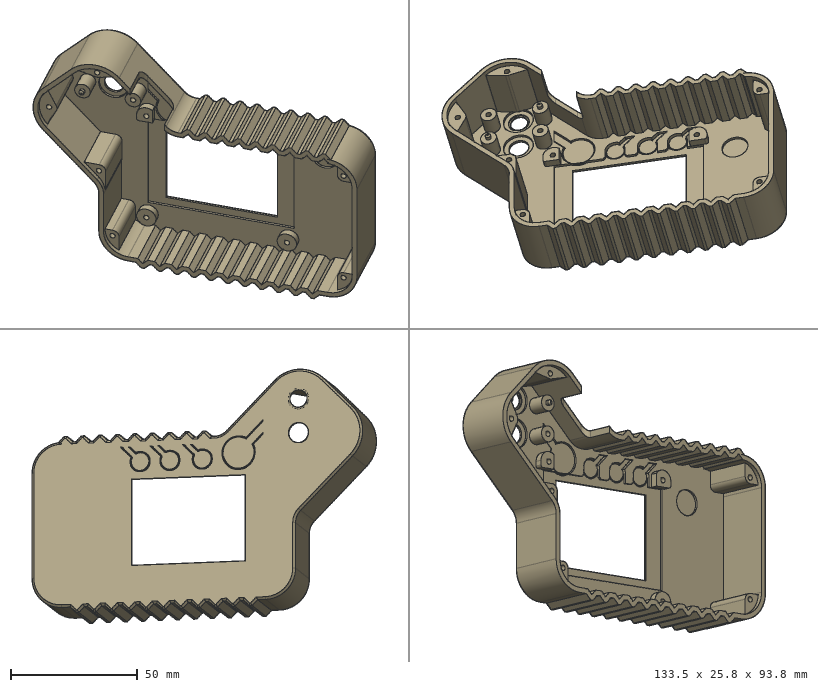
import cadquery as cq
import math

length = 133.5
depth = 25.8
wall = 2.0
floor_thickness = 2.0
recess_depth = 1.0
back_chamfer = 1.0
pad_setback = 2.0

body_left = 27.1
corner_radius = 12.0
neck_radius = 7.0
ridge_pitch = 7.0
ridge_height = 2.3
ridge_crest = 1.2
body_bottom = ridge_height
body_top = 68.3

head_radius = 14.0
head_left_center = (head_radius, 68.2)
head_top_center = (25.6, 79.8)

top_ridge_first, top_ridge_count = 64.0, 9
bottom_ridge_first, bottom_ridge_count = 45.3, 11

window_x = (47.3, 93.0)
window_z = (17.9, 52.3)
screen_x = (40.0, 100.3)
screen_z = (14.7, 55.4)

slit = 0.4
big_button = (49.9, 61.3)
big_button_radius = 6.7
big_arm_width = 4.0
big_button_recess = 0.4
small_button_z = 59.3
small_button_radius = 4.0
small_arm_width = 2.7
small_arm_end_z = 65.3
channel_flare = 0.8
small_buttons = [(64.6, True), (77.7, False), (89.7, False)]

screw_radius = 1.1
pilot_radius = 0.5
pilot_depth = 1.1
screen_boss_radius = 4.0
screen_boss_height = 3.1
screen_boss_left_x, screen_boss_right_x = 40.3, 98.2
screen_boss_low_z, screen_boss_high_z = 9.5, 58.3
screen_boss_flat_z = 55.5
left_boss_flat_x, right_boss_flat_x = 42.9, 95.0
boss_corner_radius = 1.0

camera_x = 25.8
camera_boss_offset = 10.4
camera_boss_radius = 3.2
camera_boss_height = 7.5
pin_length = 2.0
pin_chamfer = 0.7
camera_boss_z = (68.2, 80.6)
lens_recess_radius = 6.0
lower_lens_z, lower_lens_radius = 68.3, 4.0
upper_lens_z, upper_lens_radius = 82.0, 3.5
upper_step_radius = 4.1
upper_step_depth = 0.5

round_recess = (112.9, 51.7)
round_recess_radius = 5.2

pad_corner_radius = 2.7
pad_hole_depth = 10.0

slot_x = (40.0, 54.2)
slot_depth = 14.4
slot_corner_radius = 2.7

half_diagonal = math.sqrt(0.5)
bend_setback = math.tan(math.pi / 8)
floor_y = depth - floor_thickness
recess_y = floor_y + recess_depth


def sketch_at(y):
    """Workplane at depth y with sketch axes X and Z; extrusions run towards the open front."""
    return cq.Workplane("XZ", origin=(0, y, 0))


def prism(points, y_front, y_back):
    return sketch_at(y_back).polyline(points).close().extrude(y_back - y_front)


def box(x_range, z_range, y_front, y_back):
    x0, x1 = x_range
    z0, z1 = z_range
    return prism([(x0, z0), (x1, z0), (x1, z1), (x0, z1)], y_front, y_back)


def cylinder(center, radius, y_front, y_back):
    return sketch_at(y_back).center(*center).circle(radius).extrude(y_back - y_front)


def on_circle(center, radius, degrees):
    angle = math.radians(degrees)
    return (center[0] + radius * math.cos(angle), center[1] + radius * math.sin(angle))


def add_arc(sketch, center, radius, start, end):
    """Line to the start of an arc, then the arc itself (angles in degrees)."""
    sketch = sketch.lineTo(*on_circle(center, radius, start))
    middle = on_circle(center, radius, (start + end) / 2)
    return sketch.threePointArc(middle, on_circle(center, radius, end))


def add_ridges(sketch, base_z, centers, crest_side, inset):
    """Ridges with 45 degree flanks, in the order of their centers; a large inset makes them pointed."""
    travel = math.copysign(1, centers[-1] - centers[0])
    half_foot = ridge_crest / 2 + ridge_height - inset * bend_setback
    half_crest = max(0, half_foot - ridge_height)
    foot_z = base_z - crest_side * inset
    crest_z = foot_z + crest_side * (half_foot - half_crest)
    for x in centers:
        sketch = sketch.lineTo(x - travel * half_foot, foot_z)
        sketch = sketch.lineTo(x - travel * half_crest, crest_z)
        if half_crest > 0:
            sketch = sketch.lineTo(x + travel * half_crest, crest_z)
        sketch = sketch.lineTo(x + travel * half_foot, foot_z)
    return sketch


def ridge_centers(first, count):
    return [first + i * ridge_pitch for i in range(count)]


def make_outline(y, inset):
    """Outline of the housing at depth y, moved inwards by inset; starts at the lower edge's left end."""
    right_corner_x = length - corner_radius
    left_corner_x = body_left + corner_radius
    low_corner_z = body_bottom + corner_radius
    high_corner_z = body_top - corner_radius

    head_tangent = 2 * head_radius * half_diagonal
    upper_wall_sum = sum(head_top_center) + head_tangent
    lower_wall_sum = sum(head_left_center) - head_tangent
    neck_setback = bend_setback * neck_radius
    upper_neck = (upper_wall_sum - body_top + neck_setback, body_top + neck_radius)
    lower_neck = (body_left - neck_radius, lower_wall_sum - body_left - neck_setback)

    sketch = sketch_at(y).moveTo(left_corner_x, body_bottom + inset)
    bottom_centers = ridge_centers(bottom_ridge_first, bottom_ridge_count)
    sketch = add_ridges(sketch, body_bottom, bottom_centers, -1, inset)
    sketch = add_arc(sketch, (right_corner_x, low_corner_z), corner_radius - inset, 270, 360)
    sketch = add_arc(sketch, (right_corner_x, high_corner_z), corner_radius - inset, 0, 90)
    top_centers = ridge_centers(top_ridge_first, top_ridge_count)
    sketch = add_ridges(sketch, body_top, top_centers[::-1], 1, inset)
    sketch = add_arc(sketch, upper_neck, neck_radius + inset, 270, 225)
    sketch = add_arc(sketch, head_top_center, head_radius - inset, 45, 135)
    sketch = add_arc(sketch, head_left_center, head_radius - inset, 135, 225)
    sketch = add_arc(sketch, lower_neck, neck_radius + inset, 45, 0)
    sketch = add_arc(sketch, (left_corner_x, low_corner_z), corner_radius - inset, 180, 270)
    return sketch.close()


def make_arm_button(center, radius, arm_width, angle, y_front, y_back):
    """Round button with a straight arm that leaves its center at the given angle."""
    button = cylinder(center, radius, y_front, y_back)
    reach = 4 * radius
    half_width = arm_width / 2
    arm = box((0, reach), (-half_width, half_width), y_front, y_back)
    arm = arm.rotate((0, 0, 0), (0, 1, 0), -angle).translate((center[0], 0, center[1]))
    return button.union(arm)


def cut_button(body, center, radius, arm_width, angle, recess, limit):
    """Recess the floor over a button and its arm, then free them with a slit; limit ends the arm."""
    button_y = floor_y + recess
    thinned = make_arm_button(center, radius, arm_width, angle, floor_y, button_y)
    outer = make_arm_button(center, radius, arm_width, angle, button_y, depth)
    inner = make_arm_button(center, radius - slit, arm_width - 2 * slit, angle, button_y, depth)
    body = body.cut(thinned.intersect(limit))
    return body.cut(outer.cut(inner).intersect(limit))


chamfer_y = depth - back_chamfer
block = make_outline(chamfer_y, 0).extrude(chamfer_y)
chamfer_wires = [make_outline(chamfer_y, 0).val(), make_outline(depth, back_chamfer).val()]
block = block.union(cq.Workplane(cq.Solid.makeLoft(chamfer_wires, True)))
room = make_outline(floor_y, wall).extrude(floor_y)
body = block.cut(room)

pads = (
    ([(124.8, 57.7), (length, 57.7), (length, body_top), (124.8, body_top)], (127.3, 60.2)),
    ([(124.8, 13.6), (124.8, 0), (length, 0), (length, 13.6)], (127.3, 11.2)),
    ([(34.8, 14.3), (body_left, 14.3), (body_left, 0), (34.8, 0)], (32.2, 11.6)),
    ([(29.4, 44.7), (13.3, 44.7), (13.3, 33.4), (29.4, 33.4)], (26.5, 41.8)),
    ([(25.8, 86.6), (34.3, 88.5), (25.8, 96.1), (17.2, 88.5)], (25.8, 88.9)),
    ([(9.6, 68.2), (5.3, 76.6), (-2.7, 68.2), (5.3, 59.8)], (6.0, 68.2)),
)
for corners, hole in pads:
    rounded_x, rounded_z = corners[0]
    pad = prism(corners, pad_setback, floor_y)
    pad = pad.edges(cq.selectors.NearestToPointSelector((rounded_x, (pad_setback + floor_y) / 2, rounded_z)))
    pad = pad.fillet(pad_corner_radius)
    body = body.union(pad.intersect(room))
    body = body.cut(cylinder(hole, screw_radius, pad_setback, pad_setback + pad_hole_depth))

body = body.cut(box(screen_x, screen_z, floor_y, recess_y))
body = body.cut(box(window_x, window_z, recess_y, depth))

right_of_arm_end = box((screen_x[0], length), (0, 133.5), 0, depth)
below_arm_end = box((0, length), (0, small_arm_end_z), 0, depth)
body = cut_button(body, big_button, big_button_radius, big_arm_width, 135, big_button_recess, right_of_arm_end)
for x, flared_right in small_buttons:
    left = x - small_button_radius
    right = x + small_button_radius
    right_flare = channel_flare if flared_right else 0
    channel = [
        (left - channel_flare, screen_z[1]),
        (right + right_flare, screen_z[1]),
        (right, screen_z[1] + right_flare),
        (right, small_button_z),
        (left, small_button_z),
        (left, screen_z[1] + channel_flare),
    ]
    if not flared_right:
        del channel[2]
    body = body.cut(prism(channel, floor_y, recess_y))
    center = (x, small_button_z)
    body = cut_button(body, center, small_button_radius, small_arm_width, 45, recess_depth, below_arm_end)

screen_boss_y = floor_y - screen_boss_height
for x in (screen_boss_left_x, screen_boss_right_x):
    low = (x, screen_boss_low_z)
    body = body.union(cylinder(low, screen_boss_radius, screen_boss_y, floor_y))
    high = (x, screen_boss_high_z)
    foot_x = (x - screen_boss_radius, x + screen_boss_radius)
    foot = box(foot_x, (screen_boss_flat_z, screen_boss_high_z), screen_boss_y, floor_y)
    foot = foot.edges("|Y").edges("<Z").fillet(boss_corner_radius)
    boss = cylinder(high, screen_boss_radius, screen_boss_y, floor_y).union(foot)
    keep = (0, left_boss_flat_x) if x == screen_boss_left_x else (right_boss_flat_x, length)
    boss = boss.intersect(box(keep, (screen_boss_flat_z, body_top), screen_boss_y, floor_y))
    body = body.union(boss)
    for center in (low, high):
        body = body.cut(cylinder(center, screw_radius, screen_boss_y, floor_y))
        body = body.cut(cylinder(center, pilot_radius, floor_y, floor_y + pilot_depth))

camera_boss_y = floor_y - camera_boss_height
for x in (camera_x - camera_boss_offset, camera_x + camera_boss_offset):
    for z in camera_boss_z:
        body = body.union(cylinder((x, z), camera_boss_radius, camera_boss_y, floor_y))
        if (x < camera_x) == (z == camera_boss_z[0]):
            pin = cylinder((x, z), screw_radius, camera_boss_y - pin_length, camera_boss_y)
            body = body.union(pin.faces("<Y").chamfer(pin_chamfer))
        else:
            body = body.cut(cylinder((x, z), screw_radius, camera_boss_y, floor_y))
for z, radius in ((lower_lens_z, lower_lens_radius), (upper_lens_z, upper_lens_radius)):
    body = body.cut(cylinder((camera_x, z), lens_recess_radius, floor_y, recess_y))
    body = body.cut(cylinder((camera_x, z), radius, recess_y, depth))
upper_step = cylinder((camera_x, upper_lens_z), upper_step_radius, recess_y, recess_y + upper_step_depth)
body = body.cut(upper_step)
body = body.cut(cylinder(round_recess, round_recess_radius, floor_y, recess_y))

slot = prism([(slot_x[0], 66.7), (slot_x[1], 66.7), (slot_x[1], 93.5), (slot_x[0], 93.5)], 0, slot_depth)
slot = slot.edges("|Z and >Y").fillet(slot_corner_radius)
body = body.cut(slot)

result = body